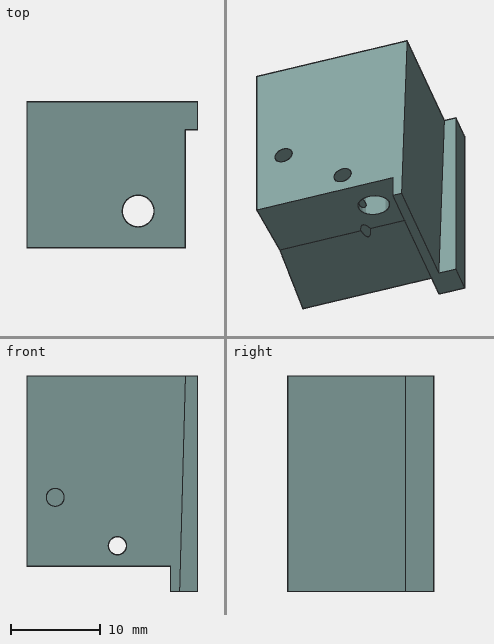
import cadquery as cq

length = 19.02
width = 16.27
height = 24.07

flange_thickness = 3.13
taper_top_x = 17.67
taper_bottom_x = 17.02

lip_left_x = 15.98
notch_edge_z = 2.82
notch_apex_z = 4.3

pin_diameter = 2.0
through_pin_x = 10.09
through_pin_z = 5.13
blind_pin_x = 3.15
blind_pin_z = 10.52
blind_pin_depth = 4.81
bore_diameter = 3.51
bore_x = 12.4
bore_y = 4.1


def make_block():
    """Tapered body with the full-length flange along its rear."""
    body = (
        cq.Workplane("XZ")
        .polyline([(0, 0), (taper_bottom_x, 0), (taper_top_x, height), (0, height)])
        .close()
        .extrude(-width)
    )
    flange = cq.Workplane("XY").box(length, flange_thickness, height, centered=False)
    return body.union(flange.translate((0, width - flange_thickness, 0)))


def make_notch():
    """Material removed below the roof-shaped underside."""
    return (
        cq.Workplane("YZ")
        .polyline([(0, 0), (width, 0), (width, notch_edge_z), (width / 2, notch_apex_z), (0, notch_edge_z)])
        .close()
        .extrude(lip_left_x)
    )


def make_front_hole(x, z, depth):
    """Pin hole running back from the front face."""
    return cq.Workplane("XZ").center(x, z).circle(pin_diameter / 2).extrude(-depth)


def make_bore():
    """Vertical bore through the whole height."""
    return cq.Workplane("XY").center(bore_x, bore_y).circle(bore_diameter / 2).extrude(height)


result = (
    make_block()
    .cut(make_notch())
    .cut(make_front_hole(through_pin_x, through_pin_z, width))
    .cut(make_front_hole(blind_pin_x, blind_pin_z, blind_pin_depth))
    .cut(make_bore())
)